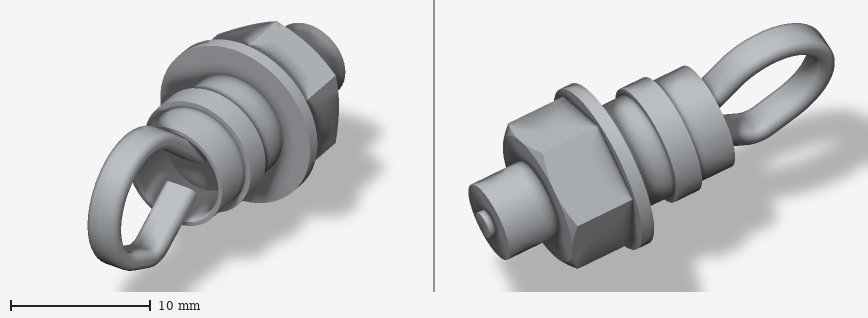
import cadquery as cq
import math

TOTAL_LENGTH = 28.5
TIP_LENGTH = 0.5
SLEEVE_LENGTH = 4.0
HEX_LENGTH = 5.0
FLANGE_LENGTH = 1.0
BARREL_LENGTH = 8.0
SLEEVE_BACK_Y = TOTAL_LENGTH / 2 - TIP_LENGTH
HEX_BACK_Y = SLEEVE_BACK_Y - SLEEVE_LENGTH
FLANGE_BACK_Y = HEX_BACK_Y - HEX_LENGTH
FLANGE_FRONT_Y = FLANGE_BACK_Y - FLANGE_LENGTH
MOUTH_Y = FLANGE_FRONT_Y - BARREL_LENGTH

HEX_SIDES = 6
HEX_ACROSS_FLATS = 10.0
HEX_CHAMFER_ANGLE = 30.0
FLANGE_DIAMETER = 12.7
BARREL_DIAMETER = 8.0
MOUTH_DIAMETER = 7.4
MOUTH_TAPER_LENGTH = 0.25
BORE_DIAMETER = 7.07

COLLAR_DIAMETER = 9.0
COLLAR_LENGTH = 2.0
COLLAR_FRONT_Y = MOUTH_Y + (BARREL_LENGTH - COLLAR_LENGTH) / 2

SLEEVE_SETBACK = 3.5
SLEEVE_FRONT_Y = MOUTH_Y + SLEEVE_SETBACK
SLEEVE_DIAMETER = 5.98
PIN_DIAMETER = 2.0

STRIP_WIDTH = 2.5
STRIP_THICKNESS = 1.25
STRIP_EDGE_RADIUS = 0.5
LOOP_RADIUS = 4.55
LOOP_CENTER_Y = LOOP_RADIUS + STRIP_THICKNESS / 2 - TOTAL_LENGTH / 2
LOOP_CENTER_Z = 0.8
UPPER_ARM_SLOPE = 40.0
LOWER_RUN_SLOPE = 23.5
LOWER_RUN_LENGTH = 2.08
HEEL_RADIUS = 1.9
LOWER_ARM_SLOPE = 33.0
UPPER_ARM_LENGTH = 5.7
LOWER_ARM_LENGTH = 4.6


def cylinder(diameter, start_y, end_y):
    """Solid cylinder on the Y axis between two stations."""
    base = cq.Workplane("XZ", origin=(0, end_y, 0))
    return base.circle(diameter / 2).extrude(end_y - start_y)


def make_hex():
    """Hexagon with flats facing +X and -X and its back corners chamfered."""
    corner_diameter = HEX_ACROSS_FLATS / math.cos(math.pi / HEX_SIDES)
    prism = (
        cq.Workplane("XZ", origin=(0, HEX_BACK_Y, 0))
        .transformed(rotate=(0, 0, 90))
        .polygon(HEX_SIDES, corner_diameter)
        .extrude(HEX_LENGTH)
    )
    flat_radius = HEX_ACROSS_FLATS / 2
    cone_base_radius = flat_radius + HEX_LENGTH / math.tan(math.radians(HEX_CHAMFER_ANGLE))
    cone = cq.Solid.makeCone(
        cone_base_radius, flat_radius, HEX_LENGTH, pnt=(0, FLANGE_BACK_Y, 0), dir=(0, 1, 0)
    )
    return prism.intersect(cq.Workplane(cone))


def make_housing():
    """Hexagon, flange and barrel, with a bore as deep as the barrel and a hole for the sleeve."""
    mouth_taper = cq.Solid.makeCone(
        MOUTH_DIAMETER / 2, BORE_DIAMETER / 2, MOUTH_TAPER_LENGTH, pnt=(0, MOUTH_Y, 0), dir=(0, 1, 0)
    )
    return (
        make_hex()
        .union(cylinder(FLANGE_DIAMETER, FLANGE_FRONT_Y, FLANGE_BACK_Y))
        .union(cylinder(BARREL_DIAMETER, MOUTH_Y, FLANGE_FRONT_Y))
        .cut(cq.Workplane(mouth_taper))
        .cut(cylinder(BORE_DIAMETER, MOUTH_Y, FLANGE_FRONT_Y))
        .cut(cylinder(SLEEVE_DIAMETER, FLANGE_FRONT_Y, HEX_BACK_Y))
    )


def make_collar():
    """Ring fitted around the barrel."""
    collar_back_y = COLLAR_FRONT_Y + COLLAR_LENGTH
    ring = cylinder(COLLAR_DIAMETER, COLLAR_FRONT_Y, collar_back_y)
    return ring.cut(cylinder(BARREL_DIAMETER, COLLAR_FRONT_Y, collar_back_y))


def make_sleeve():
    """Insulating sleeve standing in the bore and running out of the back of the hexagon."""
    sleeve = cylinder(SLEEVE_DIAMETER, SLEEVE_FRONT_Y, SLEEVE_BACK_Y)
    return sleeve.cut(cylinder(PIN_DIAMETER, SLEEVE_FRONT_Y, SLEEVE_BACK_Y))


def make_pin():
    """Centre pin through the sleeve, standing out at the back."""
    return cylinder(PIN_DIAMETER, SLEEVE_FRONT_Y, TOTAL_LENGTH / 2)


def polar(center, radius, degrees):
    """Point at a distance and direction from a centre, measured from +Y toward +Z."""
    angle = math.radians(degrees)
    return (center[0] + radius * math.cos(angle), center[1] + radius * math.sin(angle))


def make_loop():
    """Strip swept along the upper arm, round loop, lower run, heel and lower arm."""
    loop_center = (LOOP_CENTER_Y, LOOP_CENTER_Z)
    arc_start_angle = 90 - UPPER_ARM_SLOPE
    arc_end_angle = 270 - LOWER_RUN_SLOPE
    arc_start = polar(loop_center, LOOP_RADIUS, arc_start_angle)
    arc_middle = polar(loop_center, LOOP_RADIUS, (arc_start_angle + arc_end_angle) / 2)
    arc_end = polar(loop_center, LOOP_RADIUS, arc_end_angle)
    upper_end = polar(arc_start, UPPER_ARM_LENGTH, -UPPER_ARM_SLOPE)

    heel_start = polar(arc_end, LOWER_RUN_LENGTH, -LOWER_RUN_SLOPE)
    heel_center = polar(heel_start, HEEL_RADIUS, 90 - LOWER_RUN_SLOPE)
    heel_middle = polar(heel_center, HEEL_RADIUS, 270 + (LOWER_ARM_SLOPE - LOWER_RUN_SLOPE) / 2)
    heel_end = polar(heel_center, HEEL_RADIUS, 270 + LOWER_ARM_SLOPE)
    lower_end = polar(heel_end, LOWER_ARM_LENGTH, LOWER_ARM_SLOPE)

    path = (
        cq.Workplane("YZ")
        .moveTo(*upper_end)
        .lineTo(*arc_start)
        .threePointArc(arc_middle, arc_end)
        .lineTo(*heel_start)
        .threePointArc(heel_middle, heel_end)
        .lineTo(*lower_end)
    )
    slope = math.radians(UPPER_ARM_SLOPE)
    end_plane = cq.Plane(
        origin=(0, *upper_end),
        xDir=(1, 0, 0),
        normal=(0, -math.cos(slope), math.sin(slope)),
    )
    section = cq.Sketch().rect(STRIP_WIDTH, STRIP_THICKNESS).vertices().fillet(STRIP_EDGE_RADIUS)
    return cq.Workplane(end_plane).placeSketch(section).sweep(path)


housing = make_housing()
collar = make_collar()
sleeve = make_sleeve()
pin = make_pin()
loop = make_loop()

result = cq.Compound.makeCompound(
    [housing.val(), collar.val(), sleeve.val(), pin.val(), loop.val()]
)